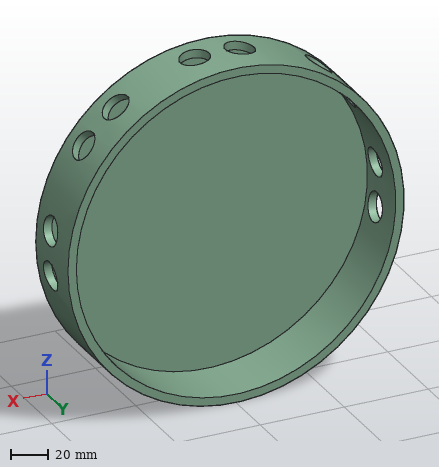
import cadquery as cq

outer_diameter = 200.0
inner_diameter = 190.0
depth = 40.0
wall = (outer_diameter - inner_diameter) / 2
floor_thickness = wall

hole_diameter = 17.0
hole_offset = 16.5
pair_step_angle = 45
pair_half_spacing = 13.5
pair_count = 5


def hole_pair(angle):
    """Two parallel cutters straddling the ray at an angle from +X towards +Z."""
    pair = (
        cq.Workplane("YZ")
        .pushPoints([(hole_offset, -pair_half_spacing), (hole_offset, pair_half_spacing)])
        .circle(hole_diameter / 2)
        .extrude(outer_diameter)
    )
    return pair.rotate((0, 0, 0), (0, 1, 0), -angle)


body = cq.Workplane("XZ").circle(outer_diameter / 2).extrude(-depth)
cavity = (
    cq.Workplane("XZ", origin=(0, floor_thickness, 0))
    .circle(inner_diameter / 2)
    .extrude(-(depth - floor_thickness))
)
cup = body.cut(cavity)

for index in range(pair_count):
    cup = cup.cut(hole_pair(index * pair_step_angle))

result = cup